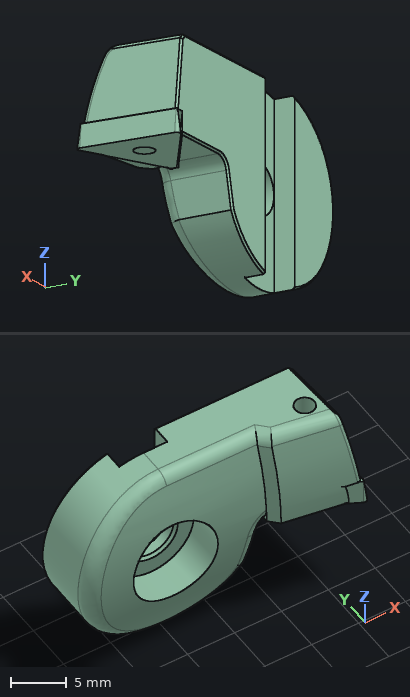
import cadquery as cq
import math


eye_diameter = 19.0
eye_radius = eye_diameter / 2
arm_bottom_z = 0.0
heel_x = 8.26
heel_slope = 13.5
heel_blend_radius = 1.5
blank_end_x = 21.38

body_depth = 7.52
crown_radius = 24.0
crown_fillet = 1.5

step_x = 9.7
step_height = 0.95
step_slope = 45.0
nose_slope = 9.5

insert_x, insert_y = 15.55, -5.0
insert_face_z = -0.28
insert_turn = math.radians(3)
insert_incircle_diameter = 6.35
insert_corner_radius = 0.4
insert_thickness = 2.4
flank_clearance = 7.0

end_setback = 0.15
end_top_chamfer = 0.45
end_front_fillet = 0.43
pocket_clearance = 0.17

screw_x = 15.4
screw_diameter = 2.02
screw_end_z = 5.7
screw_end_chamfer = 0.25

bore_diameter = 5.02
bore_chamfer = 0.28
counterbore_diameter = 9.0
counterbore_floor = 3.5
slot_width = 5.13
slot_depth = 2.15
back_chamfer = 0.2

clear = 1.42


def eye_blank():
    """Eye, heel and straight arm with a flat front."""
    slope = math.radians(heel_slope)
    heel_z = -math.sqrt(eye_radius**2 - heel_x**2)
    corner_x = heel_x + (arm_bottom_z - heel_z) * math.tan(slope)
    tangent = heel_blend_radius * math.tan((math.pi / 2 - slope) / 2)
    blend_start = (corner_x - tangent * math.sin(slope), arm_bottom_z - tangent * math.cos(slope))
    blend_end = (corner_x + tangent, arm_bottom_z)
    return (
        cq.Workplane("XZ")
        .moveTo(0, eye_radius)
        .lineTo(blank_end_x, eye_radius)
        .lineTo(blank_end_x, arm_bottom_z)
        .lineTo(*blend_end)
        .radiusArc(blend_start, -heel_blend_radius)
        .lineTo(heel_x, heel_z)
        .threePointArc((-eye_radius, 0), (0, eye_radius))
        .close()
        .extrude(body_depth)
    )


def crown_prism(start_x, crest_y, bottom_z, top_z, travel):
    """Crowned section in the plane x = start_x, carried along `travel` (x, y)."""
    axis_y = crest_y + crown_radius

    def front_point(z):
        return cq.Vector(start_x, axis_y - math.sqrt(crown_radius**2 - z**2), z)

    front_bottom, front_top = front_point(bottom_z), front_point(top_z)
    back_bottom = cq.Vector(start_x, axis_y, bottom_z)
    back_top = cq.Vector(start_x, axis_y, top_z)
    section = cq.Wire.assembleEdges([
        cq.Edge.makeThreePointArc(front_bottom, front_point((bottom_z + top_z) / 2), front_top),
        cq.Edge.makeLine(front_top, back_top),
        cq.Edge.makeLine(back_top, back_bottom),
        cq.Edge.makeLine(back_bottom, front_bottom),
    ])
    return cq.Workplane(cq.Solid.extrudeLinear(section, [], cq.Vector(*travel, 0)))


def eye_body():
    """Eye and straight arm with a crowned front, rounded all along the rim but not under the arm."""
    reach = eye_radius + clear
    crown = crown_prism(-reach, -body_depth, -reach, reach, (reach + blank_end_x, 0))
    rim = cq.selectors.BoxSelector(
        (-reach, -reach, -reach),
        (blank_end_x / 2 + 0.28, -body_depth / 2, reach),
    )
    return eye_blank().intersect(crown).edges("not |Y").edges(rim).fillet(crown_fillet)


def nose_prism(slope):
    """Arm whose crest turns outward by `slope` degrees, through the bend after the step."""
    rise = math.tan(math.radians(slope))
    start_x = step_x - eye_radius / 2
    length = blank_end_x - start_x
    bend_x = step_x + step_height / math.tan(math.radians(step_slope))
    start_y = -body_depth - step_height + (bend_x - start_x) * rise
    prism = crown_prism(start_x, start_y, arm_bottom_z, eye_radius, (length, -length * rise))
    return prism.edges(">Z").edges("<Y").fillet(crown_fillet)


def nose():
    """The step and the flared nose, meeting in a mitre, limited to the room in front of the back."""
    room = cq.Workplane("XY").box(
        blank_end_x - step_x, 2 * body_depth, eye_radius, centered=False
    ).translate((step_x, -2 * body_depth, arm_bottom_z))
    return nose_prism(step_slope).intersect(nose_prism(nose_slope)).intersect(room)


def past_slanted_plane(reach_x, height, lean):
    """Everything past a plane facing the end of the arm, turned about Z like the insert.

    The plane passes reach_x from the insert centre at the given height and leans back by `lean` degrees.
    """
    def plane_x(z):
        return reach_x - (z - height) * math.tan(math.radians(lean))

    low, high = -clear, eye_radius + clear
    far = blank_end_x
    turned_xz = cq.Plane(
        origin=(insert_x, insert_y, 0),
        xDir=(math.cos(insert_turn), math.sin(insert_turn), 0),
        normal=(math.sin(insert_turn), -math.cos(insert_turn), 0),
    )
    return (
        cq.Workplane(turned_xz)
        .polyline([(plane_x(low), low), (plane_x(high), high), (far, high), (far, low)])
        .close()
        .extrude(2 * body_depth, both=True)
    )


def finish_end(arm):
    """Cut the end face parallel to the insert flank, round its front edge and chamfer its top."""
    foot_x = insert_incircle_diameter / 2 - end_setback
    arm = arm.cut(past_slanted_plane(foot_x, insert_face_z, flank_clearance))
    arm = arm.faces(">X").edges("not(<Z or >Z or >Y)").fillet(end_front_fillet)

    chamfer_z = eye_radius - end_top_chamfer
    chamfer_x = foot_x - (chamfer_z - insert_face_z) * math.tan(math.radians(flank_clearance))
    return arm.cut(past_slanted_plane(chamfer_x, chamfer_z, 45))


def insert_prism(flank_taper, clearance):
    """Solid triangle with one edge facing the end of the arm.

    It narrows upward by flank_taper degrees and is larger than the insert by clearance all round.
    """
    corner_reach = insert_incircle_diameter + 2 * clearance
    corners = []
    for angle in (60, 180, 300):
        turned = math.radians(angle) + insert_turn
        corners.append((corner_reach * math.cos(turned), corner_reach * math.sin(turned)))
    triangle = (
        cq.Sketch()
        .polygon(corners + corners[:1])
        .vertices()
        .fillet(insert_corner_radius + clearance)
    )
    return (
        cq.Workplane("XY", origin=(insert_x, insert_y, insert_face_z))
        .placeSketch(triangle)
        .extrude(insert_thickness, taper=flank_taper)
    )


def screw_cylinder(end_z):
    """Cylinder of the screw diameter from the insert face up to end_z."""
    return (
        cq.Workplane("XY", origin=(screw_x, insert_y, insert_face_z))
        .circle(screw_diameter / 2)
        .extrude(end_z - insert_face_z)
    )


def make_arm():
    """Arm with its eye, end face, slot, insert pocket and through hole for the screw."""
    arm = finish_end(eye_body().union(nose()))

    arm = arm.faces(">Y").edges().chamfer(back_chamfer)

    slot = cq.Workplane("XY").box(slot_width, 2 * slot_depth, 2 * (eye_radius + clear))
    arm = arm.cut(slot)

    bore = cq.Workplane("XZ").circle(bore_diameter / 2).extrude(body_depth)
    counterbore = (
        cq.Workplane("XZ", origin=(0, -counterbore_floor, 0))
        .circle(counterbore_diameter / 2)
        .extrude(body_depth)
    )
    countersink = cq.Workplane(cq.Solid.makeCone(
        bore_diameter / 2,
        bore_diameter / 2 + bore_chamfer,
        bore_chamfer,
        pnt=(0, bore_chamfer - counterbore_floor, 0),
        dir=(0, -1, 0),
    ))
    arm = arm.cut(bore).cut(counterbore).cut(countersink)

    return arm.cut(insert_prism(0, pocket_clearance)).cut(screw_cylinder(eye_radius + clear))


def make_insert():
    """Insert with a plain hole for the screw."""
    return insert_prism(flank_clearance, 0).cut(screw_cylinder(eye_radius))


def make_screw():
    """Screw flush with the insert face, its chamfered end sunk in the hole of the arm."""
    return screw_cylinder(screw_end_z).faces(">Z").chamfer(screw_end_chamfer)


arm = make_arm()
insert = make_insert()
screw = make_screw()

result = cq.Compound.makeCompound([arm.val(), insert.val(), screw.val()])